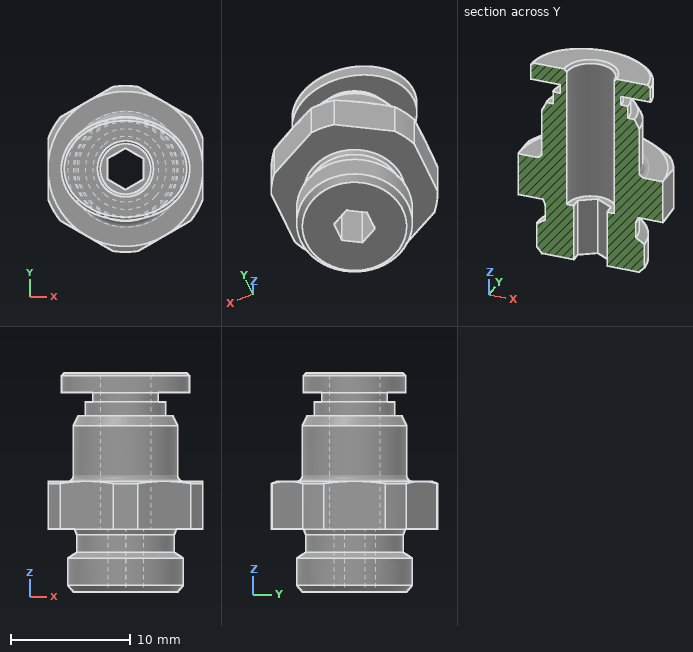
import cadquery as cq
import math

total_height = 18.4

thread_radius = 4.85
thread_tip_radius = 4.38
thread_tip_height = 0.55
thread_top = 2.85
undercut_radius = 4.1
undercut_bottom = 3.33
undercut_top = 4.8
undercut_flare_radius = 4.29

hex_across_flats = 13.0
hex_corner_radius = 7.0
hex_bottom = 5.28
hex_top = 9.3
hex_bevel_height = 0.18

sleeve_radius = 4.4
sleeve_fillet = 0.48
sleeve_shoulder = 13.97
sleeve_top = 14.81
sleeve_top_radius = 3.97

ring_radius = 3.39
ring_top = 15.97
neck_radius = 2.76
button_half_length = 5.4
button_half_width = 4.3
button_bottom = 16.75
button_chamfer = 0.25

bore_radius = 2.12
bore_chamfer = 0.24
bore_floor = hex_bottom
key_across_flats = 3.0


def hex_prism(across_flats, bottom, top):
    """Hexagonal prism with two of its flats square to the X axis."""
    corner_diameter = across_flats / math.cos(math.pi / 6)
    prism = cq.Workplane("XY").polygon(6, corner_diameter).extrude(top - bottom)
    return prism.rotate((0, 0, 0), (0, 0, 1), 30).translate((0, 0, bottom))


def make_turned_body():
    """Thread, undercut, sleeve, ring and neck as one revolved profile."""
    arc_middle = sleeve_fillet * (1 - math.sqrt(0.5))
    profile = (
        cq.Workplane("XZ")
        .lineTo(thread_tip_radius, 0)
        .lineTo(thread_radius, thread_tip_height)
        .lineTo(thread_radius, thread_top)
        .lineTo(undercut_radius, undercut_bottom)
        .lineTo(undercut_radius, undercut_top)
        .lineTo(undercut_flare_radius, hex_bottom)
        .lineTo(undercut_flare_radius, hex_top)
        .lineTo(sleeve_radius + sleeve_fillet, hex_top)
        .threePointArc(
            (sleeve_radius + arc_middle, hex_top + arc_middle),
            (sleeve_radius, hex_top + sleeve_fillet),
        )
        .lineTo(sleeve_radius, sleeve_shoulder)
        .lineTo(sleeve_top_radius, sleeve_top)
        .lineTo(ring_radius, sleeve_top)
        .lineTo(ring_radius, ring_top)
        .lineTo(neck_radius, ring_top)
        .lineTo(neck_radius, button_bottom)
        .lineTo(0, button_bottom)
        .close()
    )
    return profile.revolve(360, (0, 0, 0), (0, 1, 0))


def make_wrench_hexagon():
    """Hexagon trimmed by a round blank whose top edge is bevelled."""
    blank = (
        cq.Workplane("XZ")
        .moveTo(0, hex_bottom)
        .lineTo(hex_corner_radius, hex_bottom)
        .lineTo(hex_corner_radius, hex_top - hex_bevel_height)
        .lineTo(hex_across_flats / 2, hex_top)
        .lineTo(0, hex_top)
        .close()
        .revolve(360, (0, 0, 0), (0, 1, 0))
    )
    return hex_prism(hex_across_flats, hex_bottom, hex_top).intersect(blank)


def make_release_button():
    """Oval plate with a chamfered top rim."""
    return (
        cq.Workplane("XY", origin=(0, 0, button_bottom))
        .ellipse(button_half_length, button_half_width)
        .extrude(total_height - button_bottom)
        .faces(">Z")
        .chamfer(button_chamfer)
    )


def make_tube_bore():
    """Blind round bore, widened at its mouth."""
    return (
        cq.Workplane("XZ")
        .moveTo(0, bore_floor)
        .lineTo(bore_radius, bore_floor)
        .lineTo(bore_radius, total_height - bore_chamfer)
        .lineTo(bore_radius + bore_chamfer, total_height)
        .lineTo(0, total_height)
        .close()
        .revolve(360, (0, 0, 0), (0, 1, 0))
    )


result = (
    make_turned_body()
    .union(make_wrench_hexagon())
    .union(make_release_button())
    .cut(make_tube_bore())
    .cut(hex_prism(key_across_flats, 0, bore_floor))
)